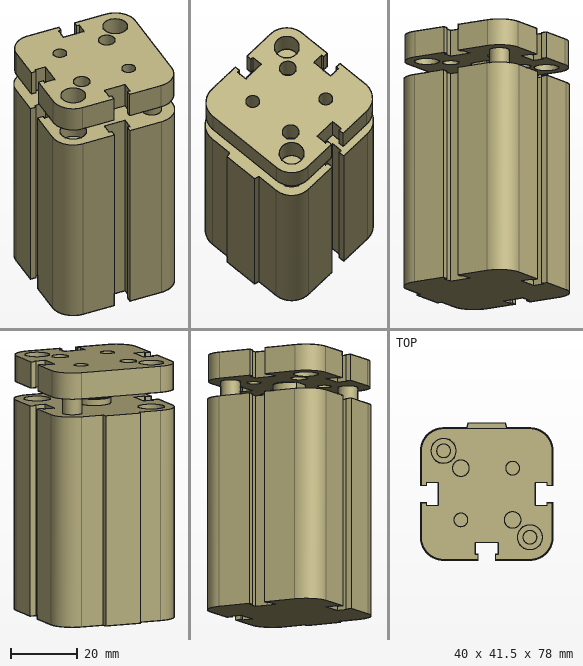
import cadquery as cq

total_height = 78.0
plate_thickness = 8.0
stroke_gap = 5.45
plate_bottom = total_height - plate_thickness
housing_height = plate_bottom - stroke_gap

housing_side = 40.0
plate_side = 39.5
corner_offset = 13.0

slot_floor = 14.7
slot_lip = 18.1
slot_width = 6.9
slot_mouth = 5.15
slot_directions = (0, 180, 270)

rail_height = 1.5
rail_top_width = 11.3
rail_base_width = 12.0

pocket_diameter = 8.0
pocket_depth = 5.0
screw_hole_diameter = 4.1
screw_hole_depth = 10.0

access_hole_diameter = 7.5
mounting_offset = 7.8
dowel_hole_diameter = 5.0
thread_hole_diameter = 4.1

pin_diameter = 6.0
rod_diameter = 10.0
neck_diameter = 9.8
neck_length = 3.35
bevel_depth = (rod_diameter - neck_diameter) / 2
bevel_length = 0.2
flats_width = 8.1
flats_length = 2.8

falling_diagonal = ((-1, 1), (1, -1))
rising_diagonal = ((1, 1), (-1, -1))


def diagonal_points(diagonal, offset):
    """Two opposite corners of a square pattern around the axis."""
    return [(x * offset, y * offset) for x, y in diagonal]


def box_between(x_start, x_end, width, height):
    """Box from x_start to x_end, centred on Y and standing on Z = 0."""
    box = cq.Workplane().box(x_end - x_start, width, height, centered=(False, True, False))
    return box.translate((x_start, 0, 0))


def slotted_block(side, height):
    """Rounded square block with a T-slot along three of its sides."""
    block = cq.Workplane().rect(side, side).extrude(height)
    block = block.edges("|Z").fillet(side / 2 - corner_offset)
    slot = box_between(slot_floor, slot_lip, slot_width, height)
    slot = slot.union(box_between(slot_floor, side, slot_mouth, height))
    for direction in slot_directions:
        block = block.cut(slot.rotate((0, 0, 0), (0, 0, 1), direction))
    return block


def make_rail():
    """Trapezoidal rail standing on the +Y face of the housing."""
    base_y = housing_side / 2
    top_y = base_y + rail_height
    outline = (
        (-rail_base_width / 2, base_y),
        (-rail_top_width / 2, top_y),
        (rail_top_width / 2, top_y),
        (rail_base_width / 2, base_y),
    )
    return cq.Workplane().polyline(outline).close().extrude(housing_height)


def make_housing():
    """Fixed body: slotted profile with its rail and two screw pockets in the top."""
    housing = slotted_block(housing_side, housing_height)
    housing = housing.union(make_rail())
    return (
        housing.faces(">Z").workplane(origin=(0, 0, housing_height))
        .pushPoints(diagonal_points(falling_diagonal, corner_offset))
        .cboreHole(screw_hole_diameter, pocket_diameter, pocket_depth, pocket_depth + screw_hole_depth)
    )


def make_plate():
    """End plate with three pairs of through holes."""
    plate = slotted_block(plate_side, plate_thickness)
    holes = (
        (falling_diagonal, corner_offset, access_hole_diameter),
        (falling_diagonal, mounting_offset, dowel_hole_diameter),
        (rising_diagonal, mounting_offset, thread_hole_diameter),
    )
    for diagonal, offset, diameter in holes:
        points = diagonal_points(diagonal, offset)
        plate = plate.cut(cq.Workplane().pushPoints(points).circle(diameter / 2).extrude(plate_thickness))
    return plate.translate((0, 0, plate_bottom))


def make_rod():
    """Piston rod between housing and plate, with a neck that carries two wrench flats."""
    rod_radius = rod_diameter / 2
    neck_radius = neck_diameter / 2
    profile = (
        cq.Workplane("XZ")
        .lineTo(rod_radius, 0)
        .lineTo(rod_radius, stroke_gap - neck_length - bevel_length)
        .lineTo(neck_radius, stroke_gap - neck_length)
        .lineTo(neck_radius, stroke_gap - bevel_length)
        .lineTo(neck_radius - bevel_depth, stroke_gap)
        .lineTo(0, stroke_gap)
        .close()
    )
    rod = profile.revolve(360, (0, 0, 0), (0, 1, 0))
    flat_cut = box_between(flats_width / 2, rod_diameter, rod_diameter, flats_length)
    flat_cut = flat_cut.translate((0, 0, stroke_gap - flats_length))
    rod = rod.cut(flat_cut).cut(flat_cut.mirror("YZ"))
    return rod.translate((0, 0, housing_height))


def make_piston():
    """Moving body: plate, piston rod and guide pins, resting on the housing top."""
    pins = (
        cq.Workplane(origin=(0, 0, housing_height))
        .pushPoints(diagonal_points(rising_diagonal, corner_offset))
        .circle(pin_diameter / 2).extrude(stroke_gap)
    )
    return make_plate().union(make_rod()).union(pins)


housing = make_housing()
piston = make_piston()

result = cq.Compound.makeCompound([housing.val(), piston.val()])